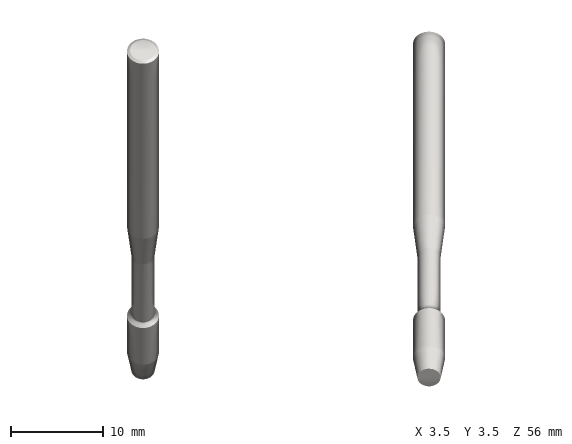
import cadquery as cq

TOTAL_LENGTH = 56.0
BODY_DIAMETER = 3.5
NECK_DIAMETER = 2.5
TIP_DIAMETER = 2.5

LEAD_TOP = 3.2
HEAD_SHOULDER = 9.6
HEAD_TOP = 9.95
NECK_TOP = 20.15
TAPER_TOP = 25.2

END_CHAMFER_WIDTH = 0.35
END_CHAMFER_HEIGHT = 0.15

BODY_RADIUS = BODY_DIAMETER / 2
NECK_RADIUS = NECK_DIAMETER / 2
TIP_RADIUS = TIP_DIAMETER / 2


def revolve_profile(outline):
    """Turn a closed outline of (radius, height) points about the Z axis."""
    return cq.Workplane("XZ").polyline(outline).close().revolve(360, (0, 0), (0, 1))


def make_cutting_head():
    """Cylindrical head with a tapered lead and a sloping shoulder up to the neck."""
    return revolve_profile([
        (0, 0),
        (TIP_RADIUS, 0),
        (BODY_RADIUS, LEAD_TOP),
        (BODY_RADIUS, HEAD_SHOULDER),
        (NECK_RADIUS, HEAD_TOP),
        (0, HEAD_TOP),
    ])


def make_shank():
    """Slender neck that widens through a taper into the chamfered shank."""
    return revolve_profile([
        (0, HEAD_TOP),
        (NECK_RADIUS, HEAD_TOP),
        (NECK_RADIUS, NECK_TOP),
        (BODY_RADIUS, TAPER_TOP),
        (BODY_RADIUS, TOTAL_LENGTH - END_CHAMFER_HEIGHT),
        (BODY_RADIUS - END_CHAMFER_WIDTH, TOTAL_LENGTH),
        (0, TOTAL_LENGTH),
    ])


cutting_head = make_cutting_head()
shank = make_shank()

result = cq.Compound.makeCompound([cutting_head.val(), shank.val()])